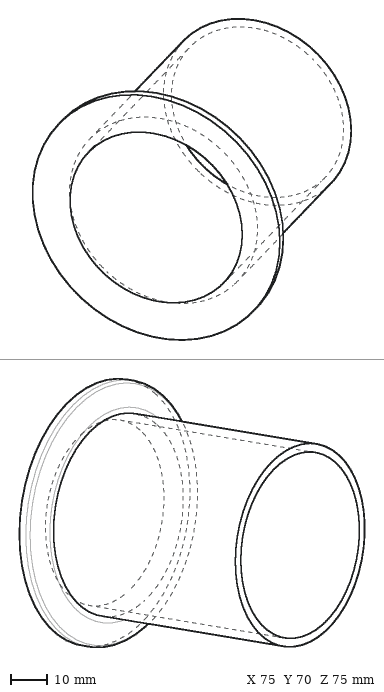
import cadquery as cq
import math

total_length = 70.0
flange_diameter = 75.0
tube_diameter = 57.0
bore_diameter = 52.2

flange_thickness = 4.95
clamp_angle = 15.0
cone_inner_diameter = 60.45
rim_fillet = 1.0

flange_radius = flange_diameter / 2
cone_inner_radius = cone_inner_diameter / 2
tube_radius = tube_diameter / 2
bore_radius = bore_diameter / 2

cone_drop = (flange_radius - cone_inner_radius) * math.tan(math.radians(clamp_angle))
rim_height = flange_thickness - cone_drop


slope = math.radians(clamp_angle)
turn = math.pi / 2 - slope
arc_setback = rim_fillet * math.tan(turn / 2)
arc_start = (flange_radius, rim_height - arc_setback)
arc_end = (
    flange_radius - arc_setback * math.cos(slope),
    rim_height + arc_setback * math.sin(slope),
)


def make_flange():
    """Flange disc with a sloped back and a rounded rear rim."""
    half_section = (
        cq.Workplane("XY")
        .lineTo(flange_radius, 0)
        .lineTo(*arc_start)
        .tangentArcPoint(arc_end, relative=False)
        .lineTo(cone_inner_radius, flange_thickness)
        .lineTo(0, flange_thickness)
        .close()
    )
    return half_section.revolve(axisStart=(0, 0, 0), axisEnd=(0, 1, 0))


def make_cylinder(radius):
    """Solid cylinder along +Y from the flange face to the tube end."""
    return cq.Workplane("XZ").circle(radius).extrude(-total_length)


result = make_flange().union(make_cylinder(tube_radius)).cut(make_cylinder(bore_radius))